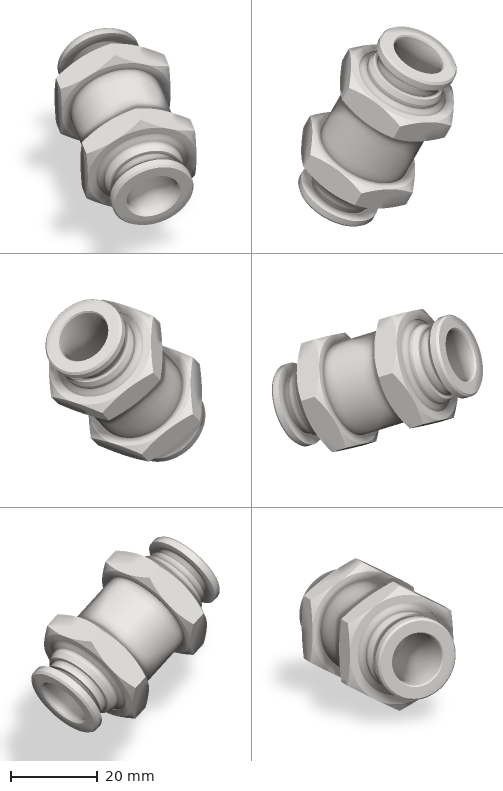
import cadquery as cq
import math

length = 45.8
half_length = length / 2

collar_radius = 9.75
collar_chamfer_depth = 0.45
collar_chamfer_length = 0.55
collar_width = 2.15
neck_radius = 7.1
neck_end = 3.95

step_radius = 7.95
step_end = 5.9
cap_radius = 9.4
cap_front_radius = 8.85
cap_taper_end = 7.3
cap_end = 8.4
body_radius = 11.0
body_cone_end = 9.5

nut_across_flats = 26.0
nut_across_corners = nut_across_flats / math.cos(math.radians(30))
nut_start = 9.2
nut_width = 6.15
nut_chamfer_angle = 31.0

socket_radius = 6.25
socket_chamfer_depth = 0.27
socket_chamfer_length = 0.45
socket_depth = 21.05


def revolve_about_x(profile):
    """Turn a closed (x, radius) outline into a solid about the X axis."""
    return cq.Workplane("XY").polyline(profile).close().revolve(360, (0, 0, 0), (1, 0, 0))


def make_body():
    """Turned body with both collars; the outline of one end is mirrored to the other."""
    end_outline = [
        (0, 0),
        (0, collar_radius - collar_chamfer_depth),
        (collar_chamfer_length, collar_radius),
        (collar_width, collar_radius),
        (collar_width, neck_radius),
        (neck_end, neck_radius),
        (neck_end, step_radius),
        (step_end, step_radius),
        (step_end, cap_front_radius),
        (cap_taper_end, cap_radius),
        (cap_end, cap_radius),
        (body_cone_end, body_radius),
    ]
    left_end = [(distance - half_length, radius) for distance, radius in end_outline]
    right_end = [(half_length - distance, radius) for distance, radius in reversed(end_outline)]
    return revolve_about_x(left_end + right_end)


def make_nut():
    """Hexagon nut at the -X end, with corners turned down to a cone on both faces."""
    face_radius = nut_across_flats / 2
    corner_radius = nut_across_corners / 2
    chamfer_length = (corner_radius - face_radius) * math.tan(math.radians(nut_chamfer_angle))
    outer_face = nut_start - half_length
    inner_face = outer_face + nut_width
    hexagon = (
        cq.Workplane("YZ", origin=(outer_face, 0, 0))
        .transformed(rotate=(0, 0, 90))
        .polygon(6, nut_across_corners)
        .circle(body_radius)
        .extrude(nut_width)
    )
    turned_blank = revolve_about_x([
        (outer_face, 0),
        (outer_face, face_radius),
        (outer_face + chamfer_length, corner_radius),
        (inner_face - chamfer_length, corner_radius),
        (inner_face, face_radius),
        (inner_face, 0),
    ])
    return hexagon.intersect(turned_blank)


def make_socket():
    """Cutter for the blind socket at the -X end, with its chamfered mouth."""
    floor = socket_depth - half_length
    return revolve_about_x([
        (-half_length, 0),
        (-half_length, socket_radius + socket_chamfer_depth),
        (socket_chamfer_length - half_length, socket_radius),
        (floor, socket_radius),
        (floor, 0),
    ])


nut = make_nut()
socket = make_socket()
result = make_body()
result = result.union(nut).union(nut.mirror("YZ"))
result = result.cut(socket).cut(socket.mirror("YZ"))